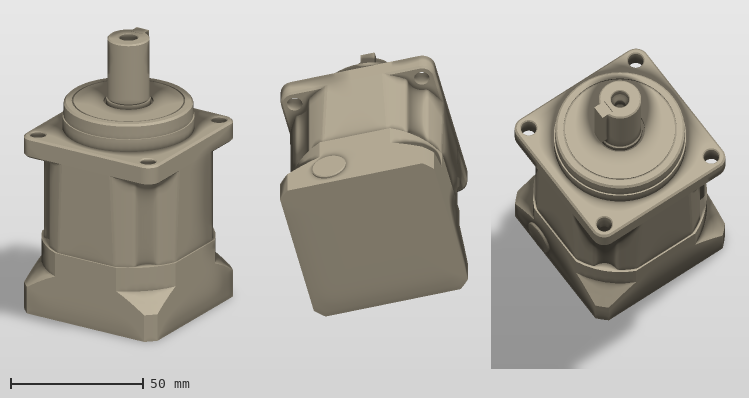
import cadquery as cq
import math

square_side = 60.0
half_side = square_side / 2
overall_height = 108.5

base_top = 27.5
base_cone_bottom = 10.8
base_cone_top = 17.9
base_lower_radius = 39.9
base_upper_radius = 33.0

ring_radius = 32.0
ring_draft_angle = 1.0
ring_edge_fillet = 3.0
relief_radius = 5.4
relief_lip_fillet = 2.0

flange_bottom = 63.6
flange_top = 71.7
flange_corner_radius = 5.0
flange_chamfer = 0.8
screw_circle_radius = 35.0
screw_hole_radius = 2.9
screw_hole_chamfer = 0.4

pilot_lower_radius = 25.1
pilot_upper_radius = 24.5
pilot_step = 76.7
pilot_top = 82.6
pilot_chamfer = 0.8
groove_outer_radius = 21.5
groove_inner_radius = 20.8
groove_depth = 0.5
shaft_recess_radius = 9.4
shaft_recess_depth = 1.1

plug_radius = 6.6
plug_x = 10.0
plug_z = 9.4
plug_height = 1.0
plug_chamfer = 0.3

shaft_radius = 8.0
shaft_chamfer = 0.5
collar_radius = 8.5
collar_top = 83.7
neck_radius = 7.7
neck_height = 0.5

center_mouth_radius = 3.8
center_mouth_depth = 0.3
counterbore_radius = 3.5
counterbore_depth = 2.8
pilot_hole_radius = 2.1
pilot_hole_depth = 8.7
center_cone_angle = 60.0
drill_tip_angle = 118.0

key_width = 5.4
key_top_height = 10.0
key_bottom = 85.6
keyway_floor = 5.3
keyway_gap = 0.2

shaft_bottom = pilot_top - shaft_recess_depth
ring_top = flange_bottom + flange_chamfer
screw_offset = screw_circle_radius / math.sqrt(2)
screw_points = [(sx * screw_offset, sy * screw_offset) for sx in (-1, 1) for sy in (-1, 1)]


def cylinder(radius, bottom, top):
    """Vertical cylinder on the Z axis."""
    return cq.Workplane("XY").workplane(offset=bottom).circle(radius).extrude(top - bottom)


def turned(profile):
    """Solid of revolution about Z from (radius, height) points."""
    return cq.Workplane("XZ").polyline(profile).close().revolve(360, (0, 0, 0), (0, 1, 0))


def make_base():
    """Square block whose corners are turned to two radii joined by a cone."""
    block = cq.Workplane("XY").rect(square_side, square_side).extrude(base_top)
    envelope = turned([
        (0, 0),
        (base_lower_radius, 0),
        (base_lower_radius, base_cone_bottom),
        (base_upper_radius, base_cone_top),
        (base_upper_radius, base_top),
        (0, base_top),
    ])
    return block.intersect(envelope)


def make_gear_ring():
    """Cylinder with four drafted flats, softened edges and a screw relief in each corner."""
    height = ring_top - base_top
    drafted_block = (
        cq.Workplane("XY").workplane(offset=ring_top)
        .rect(square_side, square_side)
        .extrude(-height, taper=ring_draft_angle)
    )
    ring = cylinder(ring_radius, base_top, ring_top).intersect(drafted_block)
    ring = ring.edges("not(#Z)").edges("not(%CIRCLE)").fillet(ring_edge_fillet)
    reliefs = (
        cq.Workplane("XY").workplane(offset=base_top)
        .pushPoints(screw_points).circle(relief_radius).extrude(height)
    )
    return ring.cut(reliefs).edges("|Z").fillet(relief_lip_fillet)


def make_flange():
    """Rounded square plate, chamfered on both faces."""
    return (
        cq.Workplane("XY").workplane(offset=flange_bottom)
        .rect(square_side, square_side).extrude(flange_top - flange_bottom)
        .edges("|Z").fillet(flange_corner_radius)
        .faces("<Z or >Z").chamfer(flange_chamfer)
    )


def cut_screw_holes(body):
    """Through holes in the flange with a chamfered mouth."""
    mouth_radius = screw_hole_radius + screw_hole_chamfer
    drill = turned([
        (0, flange_bottom),
        (screw_hole_radius, flange_bottom),
        (screw_hole_radius, flange_top - screw_hole_chamfer),
        (mouth_radius, flange_top),
        (0, flange_top),
    ])
    for x, y in screw_points:
        body = body.cut(drill.translate((x, y, 0)))
    return body


def make_pilot():
    """Two-step round boss with a ring groove and a recess around the shaft."""
    lower_step = cylinder(pilot_lower_radius, flange_top, pilot_step)
    upper_step = cylinder(pilot_upper_radius, pilot_step, pilot_top).faces(">Z").chamfer(pilot_chamfer)
    groove_bottom = pilot_top - groove_depth
    groove = cylinder(groove_outer_radius, groove_bottom, pilot_top).cut(
        cylinder(groove_inner_radius, groove_bottom, pilot_top)
    )
    shaft_recess = cylinder(shaft_recess_radius, shaft_bottom, pilot_top)
    return lower_step.union(upper_step).cut(groove).cut(shaft_recess)


def make_plug():
    """Low chamfered disc standing on the rear face of the base."""
    return (
        cq.Workplane("XZ", origin=(plug_x, half_side, plug_z))
        .circle(plug_radius).extrude(-plug_height)
        .faces(">Y").chamfer(plug_chamfer)
    )


def make_housing():
    """Base, gear ring, flange, pilot and plug as one solid."""
    housing = make_base().union(make_gear_ring()).union(make_flange())
    housing = cut_screw_holes(housing)
    return housing.union(make_pilot()).union(make_plug())


def make_shaft_blank():
    """Turned shaft with a collar and a narrow neck just above it."""
    neck_top = collar_top + neck_height
    return turned([
        (0, shaft_bottom),
        (collar_radius, shaft_bottom),
        (collar_radius, collar_top),
        (neck_radius, collar_top),
        (shaft_radius, neck_top),
        (shaft_radius, overall_height - shaft_chamfer),
        (shaft_radius - shaft_chamfer, overall_height),
        (0, overall_height),
    ])


def make_center_hole():
    """Stepped centre hole with a conical seat and a drilled pilot hole."""
    cone_depth = (counterbore_radius - pilot_hole_radius) / math.tan(math.radians(center_cone_angle / 2))
    tip_depth = pilot_hole_radius / math.tan(math.radians(drill_tip_angle / 2))
    return turned([
        (0, overall_height),
        (center_mouth_radius, overall_height),
        (counterbore_radius, overall_height - center_mouth_depth),
        (counterbore_radius, overall_height - counterbore_depth),
        (pilot_hole_radius, overall_height - counterbore_depth - cone_depth),
        (pilot_hole_radius, overall_height - pilot_hole_depth),
        (0, overall_height - pilot_hole_depth - tip_depth),
    ])


def make_key():
    """Key that is flat at the shaft end and rounded at its lower end."""
    key_radius = key_width / 2
    key_base = keyway_floor + keyway_gap
    arc_center = key_bottom + key_radius
    return (
        cq.Workplane("XZ", origin=(0, key_base, 0))
        .moveTo(-key_radius, overall_height)
        .lineTo(-key_radius, arc_center)
        .threePointArc((0, key_bottom), (key_radius, arc_center))
        .lineTo(key_radius, overall_height)
        .close()
        .extrude(key_base - key_top_height)
    )


def make_keyway_gap():
    """Thin slit left between the key and the keyway floor."""
    slit_height = overall_height - key_bottom - key_width / 2
    return (
        cq.Workplane("XY", origin=(0, keyway_floor + keyway_gap / 2, overall_height))
        .rect(key_width, keyway_gap).extrude(-slit_height)
    )


def make_shaft():
    """Output shaft with its key, centre hole and keyway slit."""
    shaft = make_shaft_blank().union(make_key())
    return shaft.cut(make_center_hole()).cut(make_keyway_gap())


housing = make_housing()
shaft = make_shaft()

result = cq.Compound.makeCompound([housing.val(), shaft.val()])